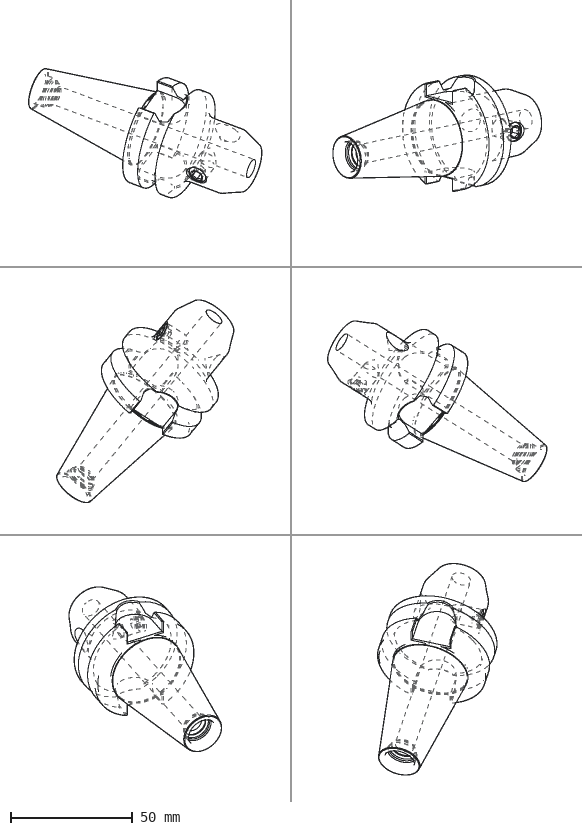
import cadquery as cq
import math

LENGTH = 98.6

TAIL_CHAMFER = 0.3
GAUGE_X = 49.2
GAUGE_RADIUS = 16.0
TAPER_RATIO = 7 / 48
TAIL_RADIUS = GAUGE_RADIUS - GAUGE_X * TAPER_RATIO
RELIEF_X = 49.7
RELIEF_DEPTH = 0.3
ROOT_FILLET = 0.6

FLANGE_X = 50.7
FLANGE_END_X = 70.5
FLANGE_DIAMETER = 46.0
FLANGE_RADIUS = FLANGE_DIAMETER / 2
FLANGE_FILLET = 0.9
GROOVE_START_X = 58.0
GROOVE_END_X = 66.1
GROOVE_RADIUS = 18.9
GROOVE_FLANK_ANGLE = 30.0
GROOVE_FILLET = 0.5

NOSE_RADIUS = 14.0
NECK_FILLET = 5.1
CONE_X = 89.9
TIP_RADIUS = 10.3
CONE_FILLET = 2.3
TIP_FILLET = 1.2

TOOL_BORE_RADIUS = 3.9
PILOT_RADIUS = 6.3
PILOT_DEPTH = 4.9
PILOT_FILLET = 1.0
LEAD_RADIUS = 5.8
LEAD_END_X = 6.3
THREAD_RADIUS = 5.0
THREAD_END_X = 7.6

SLOT_WIDTH = 16.1
SLOT_END_X = 67.7
SLOT_FLOOR_Z = 16.2
SLOT_CHAMFER = 0.5
SLOT_RUN_OUT = 2.0

SCREW_X = 80.6
SCREW_RADIUS = 3.9
SCREW_TOP = 13.9
SCREW_CHAMFER = 1.2
HEX_FLATS = 4.0
HEX_DEPTH = 3.9
SOCKET_MOUTH_RADIUS = 2.6
HOLE_MOUTH_RADIUS = 4.6
BALANCE_RADIUS = 5.6

CUT_OVERRUN = 2.0
NEAR = 0.01


def round_rim(solid, x, radius, size):
    """Fillet the circular edge of the given radius that lies around the axis at x."""
    ring = [
        edge for edge in solid.edges("%CIRCLE").vals()
        if abs(edge.Center().x - x) < NEAR and abs(edge.radius() - radius) < NEAR
    ]
    return solid.newObject(ring).fillet(size)


def revolved_blank():
    """Outside of the holder, turned about X, with its corners rounded."""
    relief_radius = GAUGE_RADIUS - RELIEF_DEPTH
    flank = (FLANGE_RADIUS - GROOVE_RADIUS) * math.tan(math.radians(GROOVE_FLANK_ANGLE))
    outline = [
        (0, 0),
        (0, TAIL_RADIUS),
        (GAUGE_X, GAUGE_RADIUS),
        (RELIEF_X, GAUGE_RADIUS),
        (RELIEF_X, relief_radius),
        (FLANGE_X, relief_radius),
        (FLANGE_X, FLANGE_RADIUS),
        (GROOVE_START_X, FLANGE_RADIUS),
        (GROOVE_START_X + flank, GROOVE_RADIUS),
        (GROOVE_END_X - flank, GROOVE_RADIUS),
        (GROOVE_END_X, FLANGE_RADIUS),
        (FLANGE_END_X, FLANGE_RADIUS),
        (FLANGE_END_X, NOSE_RADIUS),
        (CONE_X, NOSE_RADIUS),
        (LENGTH, TIP_RADIUS),
        (LENGTH, 0),
    ]
    blank = cq.Workplane("XY").polyline(outline).close().revolve(360, (0, 0, 0), (1, 0, 0))

    rims = [
        (FLANGE_X, relief_radius, ROOT_FILLET),
        (FLANGE_X, FLANGE_RADIUS, FLANGE_FILLET),
        (GROOVE_START_X + flank, GROOVE_RADIUS, GROOVE_FILLET),
        (GROOVE_END_X - flank, GROOVE_RADIUS, GROOVE_FILLET),
        (FLANGE_END_X, FLANGE_RADIUS, FLANGE_FILLET),
        (FLANGE_END_X, NOSE_RADIUS, NECK_FILLET),
        (CONE_X, NOSE_RADIUS, CONE_FILLET),
        (LENGTH, TIP_RADIUS, TIP_FILLET),
    ]
    for x, radius, size in rims:
        blank = round_rim(blank, x, radius, size)
    return blank.faces("<X").edges().chamfer(TAIL_CHAMFER)


def axial_bore():
    """Pilot, threaded section and tool bore as one stepped core."""
    core = [
        (0, 0),
        (0, PILOT_RADIUS),
        (PILOT_DEPTH, PILOT_RADIUS),
        (PILOT_DEPTH + PILOT_RADIUS - LEAD_RADIUS, LEAD_RADIUS),
        (LEAD_END_X, LEAD_RADIUS),
        (LEAD_END_X + LEAD_RADIUS - THREAD_RADIUS, THREAD_RADIUS),
        (THREAD_END_X, THREAD_RADIUS),
        (THREAD_END_X + THREAD_RADIUS - TOOL_BORE_RADIUS, TOOL_BORE_RADIUS),
        (LENGTH, TOOL_BORE_RADIUS),
        (LENGTH, 0),
    ]
    return cq.Workplane("XY").polyline(core).close().revolve(360, (0, 0, 0), (1, 0, 0))


def drive_slot(side):
    """Round-ended slot open toward the tail, for the side +1 (+Z) or -1 (-Z)."""
    half = SLOT_WIDTH / 2
    outline = (
        cq.Workplane("XY", origin=(0, 0, side * SLOT_FLOOR_Z))
        .moveTo(FLANGE_X - SLOT_RUN_OUT, -half)
        .lineTo(SLOT_END_X - half, -half)
        .threePointArc((SLOT_END_X, 0), (SLOT_END_X - half, half))
        .lineTo(FLANGE_X - SLOT_RUN_OUT, half)
        .close()
    )
    return outline.extrude(side * FLANGE_RADIUS)


def on_slot_rim(edge):
    """True for slot edges on the tail-side flange face, its rounded rim or the outer rim."""
    point = edge.positionAt(0.5)
    half = SLOT_WIDTH / 2
    if abs(point.y) > half + NEAR or abs(point.z) < SLOT_FLOOR_Z - NEAR:
        return False
    radius = math.hypot(point.y, point.z)
    on_wall = abs(abs(point.y) - half) < NEAR
    on_face = abs(point.x - FLANGE_X) < NEAR
    on_round = (
        on_wall
        and point.x < FLANGE_X + FLANGE_FILLET
        and radius > FLANGE_RADIUS - FLANGE_FILLET
    )
    on_outer_rim = FLANGE_X < point.x < SLOT_END_X + NEAR and radius > FLANGE_RADIUS - NEAR
    return on_face or on_round or on_outer_rim


def chamfer_slot_edges(holder):
    rims = [edge for edge in holder.edges().vals() if on_slot_rim(edge)]
    return holder.newObject(rims).chamfer(SLOT_CHAMFER)


def screw_plane(distance):
    """Sketch plane facing -Y at the given distance from the axis, centred on the screw."""
    return cq.Workplane(cq.Plane(origin=(SCREW_X, -distance, 0), xDir=(1, 0, 0), normal=(0, -1, 0)))


def countersink(direction, surface, mouth):
    """Cone of 90 degrees about the screw axis, of radius mouth at distance surface."""
    height = mouth + CUT_OVERRUN
    apex = cq.Vector(SCREW_X, direction * (surface - mouth), 0)
    cone = cq.Solid.makeCone(0, height, height, apex, cq.Vector(0, direction, 0))
    return cq.Workplane(cone)


def make_holder():
    holder = revolved_blank().cut(axial_bore())
    holder = round_rim(holder, 0, PILOT_RADIUS, PILOT_FILLET)
    for side in (1, -1):
        holder = holder.cut(drive_slot(side))
    holder = chamfer_slot_edges(holder)
    screw_hole = screw_plane(0).circle(SCREW_RADIUS).extrude(NOSE_RADIUS + CUT_OVERRUN)
    holder = holder.cut(screw_hole)
    holder = holder.cut(countersink(-1, NOSE_RADIUS, HOLE_MOUTH_RADIUS))
    return holder.cut(countersink(1, NOSE_RADIUS, BALANCE_RADIUS))


def make_screw():
    screw = (
        screw_plane(TOOL_BORE_RADIUS)
        .circle(SCREW_RADIUS)
        .extrude(SCREW_TOP - TOOL_BORE_RADIUS)
        .faces("<Y").chamfer(SCREW_CHAMFER)
    )
    socket = (
        screw_plane(SCREW_TOP - HEX_DEPTH)
        .polygon(6, HEX_FLATS, circumscribed=True)
        .extrude(HEX_DEPTH)
    )
    return screw.cut(socket).cut(countersink(-1, SCREW_TOP, SOCKET_MOUTH_RADIUS))


holder = make_holder()
screw = make_screw()
result = cq.Compound.makeCompound([holder.val(), screw.val()])